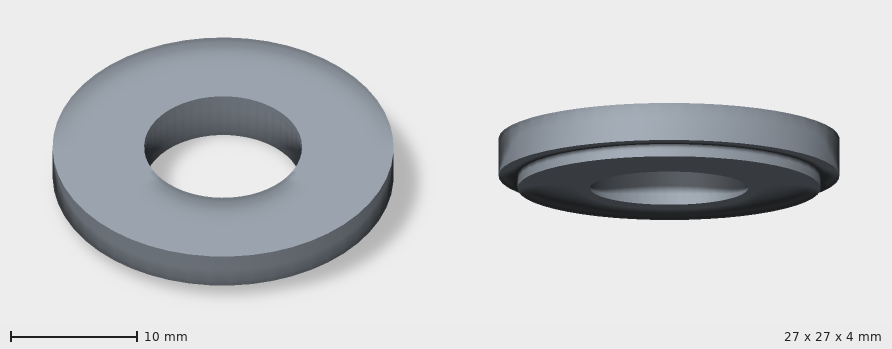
import cadquery as cq

flange_diameter = 27.0
spigot_diameter = 24.0
bore_diameter = 12.5
total_height = 4.0
spigot_height = 1.0
flange_height = total_height - spigot_height

spigot = cq.Workplane("XY").circle(spigot_diameter / 2).extrude(spigot_height)

washer = spigot.faces(">Z").workplane().circle(flange_diameter / 2).extrude(flange_height)

result = washer.faces(">Z").workplane().hole(bore_diameter)